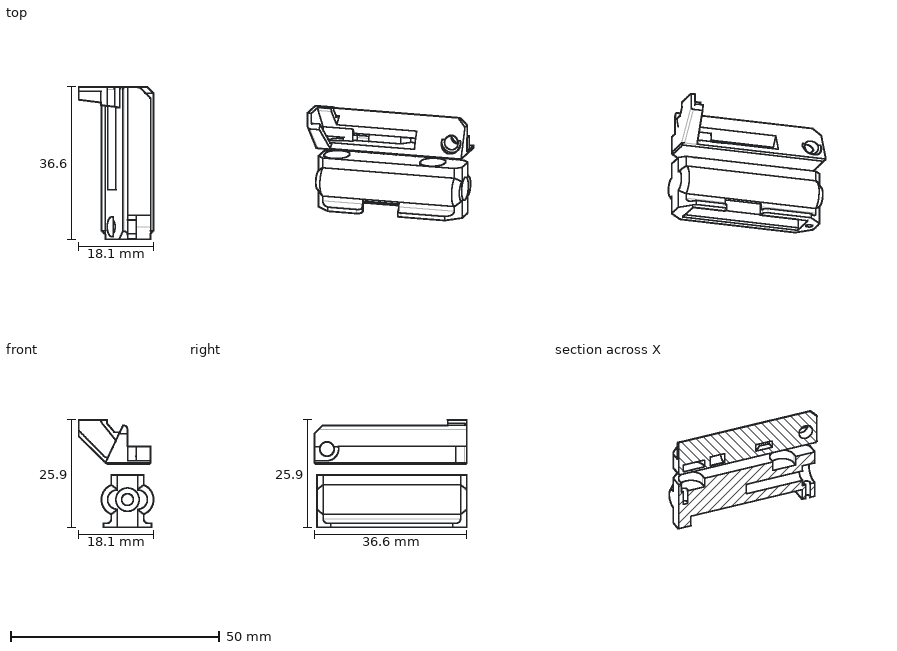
import cadquery as cq
import math


BIG = 73.15

LOWER_LENGTH = 36.0
LOWER_HEIGHT = 12.65
BLOCK_HALF = 3.9
CORNER_CUT = 1.5
TUBE_OFFSET = 2.5
TUBE_OUTER = 6.3
AXIS_Z = 6.7
FLANGE_HALF = 5.78
FLANGE_HEIGHT = 1.02
FLANGE_FILLET = 1.02
GAP_START = 11.5
GAP_END = 20.55
GAP_TOP = 2.7
CHANNEL_HALF = 3.45
CHANNEL_END_WALL = 3.35
CHANNEL_CHAMFER = 0.48
BORE_D = 5.6
BORE_DEPTH = 3.2
PILOT_D = 2.8
PILOT_END = LOWER_LENGTH / 2
PIN_D = 1.6
PIN_INSET = 1.83
POCKET_D = 6.0
POCKET_STRETCH = 1.1
POCKET_FLOOR = 10.25
POCKET_PLACES = (3.88, 27.9)

UPPER_LENGTH = 36.57
BASE_Z = 15.15
TOP_Z = 24.5
SHELF_Z = 19.45
UPPER_RIGHT = 5.52
BASE_LEFT = -4.65
TIP_X = -5.3
TIP_Z = 15.55
CREST_LEFT = -1.1
CREST_FILLET = 0.88
BASE_CHAMFER = 0.35
BACK_CORNER = 2.67
BACK_CORNER_BLEND = 2.05
FRONT_CHAMFER = 1.95
BACK_EDGE_FILLET = 0.55

FINGER_LEFT = -11.75
FINGER_TOP = 25.85
FINGER_LOW = 21.9
FINGER_RIGHT = -4.9
FINGER_ELBOW = 24.98
LEDGE_X = -3.1
LEDGE_Z = 22.9
FINGER_DEPTH = 5.85
TRIM_START = -3.8
TRIM_PER_X = -0.2
TRIM_PER_Z = -0.07
ROOT_OVERLAP = 0.9

BACK_WALL = 1.02
FLOOR_Z = 16.85
WINDOW_END = 24.7
WINDOW_TOP_X = -2.8
CAVITY_WALL = -0.95
CAVITY_SHOULDER = 18.58
CAVITY_LIP_X = -5.38
CAVITY_OPEN_Z = 23.33
CAVITY_NECK_X = -6.4
CAVITY_NECK_Z = 25.4
CAVITY_NECK_BLEND = 1.1
STOP_END = 8.5
STOP_WALL = -2.0

SOCKET_D = 5.6
SOCKET_Y = 4.15
SOCKET_FLOOR = 15.9
SOCKET_ROOF = 17.65
TROUGH_D = 2.8
TROUGH_X = 0.33
TROUGH_ROOF = 18.15
TROUGH_END = 12.2
NICHE_START = 20.1
NICHE_DEPTH = 2.0
NICHE_ROOF = 18.5

CROSS_Y = 33.57
CROSS_Z = 18.85
CROSS_D = 3.4
COUNTERBORE_D = 4.75
COUNTERBORE_X = -3.45
NOTCH_D = 5.6
NOTCH_X = 2.05
BOSS_SETBACK = 0.1


def along_y(outline, start, end):
    """Extrude an (x, z) outline from y = -start to y = -end."""
    plane = cq.Workplane("XZ", origin=(0, -start, 0))
    return plane.polyline(outline).close().extrude(end - start)


def box(x0, x1, y0, y1, z0, z1):
    """Box between two corners."""
    return cq.Workplane("XY").box(x1 - x0, y1 - y0, z1 - z0, centered=False).translate((x0, y0, z0))


def rod_y(x, z, diameter, start, end):
    """Cylinder along Y from y = -start to y = -end."""
    return cq.Workplane("XZ", origin=(x, -start, z)).circle(diameter / 2).extrude(end - start)


def rod_x(y, z, diameter, x0, x1):
    """Cylinder along X from x0 to x1."""
    return cq.Workplane("YZ", origin=(x0, y, z)).circle(diameter / 2).extrude(x1 - x0)


def rod_z(x, y, diameter, z0, z1):
    """Cylinder along Z from z0 to z1."""
    return cq.Workplane("XY", origin=(x, y, z0)).circle(diameter / 2).extrude(z1 - z0)


def flanged_block():
    """Central block with filleted foot flanges and 45 degree corners."""
    shoulder_z = FLANGE_HEIGHT + FLANGE_FILLET
    foot_x = BLOCK_HALF + FLANGE_FILLET
    bend = FLANGE_FILLET * (1 - math.sqrt(0.5))
    section = (
        cq.Workplane("XZ")
        .moveTo(-FLANGE_HALF, 0)
        .lineTo(FLANGE_HALF, 0)
        .lineTo(FLANGE_HALF, FLANGE_HEIGHT)
        .lineTo(foot_x, FLANGE_HEIGHT)
        .threePointArc((BLOCK_HALF + bend, FLANGE_HEIGHT + bend), (BLOCK_HALF, shoulder_z))
        .lineTo(BLOCK_HALF, LOWER_HEIGHT)
        .lineTo(-BLOCK_HALF, LOWER_HEIGHT)
        .lineTo(-BLOCK_HALF, shoulder_z)
        .threePointArc((-BLOCK_HALF - bend, FLANGE_HEIGHT + bend), (-foot_x, FLANGE_HEIGHT))
        .lineTo(-FLANGE_HALF, FLANGE_HEIGHT)
        .close()
        .extrude(LOWER_LENGTH)
    )
    end_half = BLOCK_HALF - CORNER_CUT
    corner = FLANGE_HALF - end_half
    footprint = (
        cq.Workplane("XY", origin=(0, -LOWER_LENGTH / 2, 0))
        .rect(2 * FLANGE_HALF, LOWER_LENGTH)
        .extrude(LOWER_HEIGHT)
        .edges("|Z")
        .chamfer(corner)
    )
    return section.intersect(footprint)


def side_tube(side):
    """Round rib along one side (-1 or 1), with coned ends."""
    radius = TUBE_OUTER - TUBE_OFFSET
    rib = rod_y(side * TUBE_OFFSET, AXIS_Z, 2 * radius, 0, LOWER_LENGTH)
    return rib.faces("<Y or >Y").chamfer(CORNER_CUT)


def underside_channel():
    """Hollow in the underside, with a bevelled lower edge on its right wall."""
    start = CHANNEL_END_WALL
    end = LOWER_LENGTH - CHANNEL_END_WALL
    outline = [
        (-CHANNEL_HALF, 0),
        (CHANNEL_HALF + CHANNEL_CHAMFER, 0),
        (CHANNEL_HALF, CHANNEL_CHAMFER),
        (CHANNEL_HALF, GAP_TOP),
        (-CHANNEL_HALF, GAP_TOP),
    ]
    return along_y(outline, start, end)


def flange_gap():
    """Opening through the left flange and wall; the flange ends left standing are rounded."""
    inner = -CHANNEL_HALF
    outer = -FLANGE_HALF
    round_x = outer + FLANGE_FILLET
    bend = FLANGE_FILLET * (1 - math.sqrt(0.5))
    return (
        cq.Workplane("XY")
        .moveTo(inner, -GAP_START)
        .lineTo(round_x, -GAP_START)
        .threePointArc((outer + bend, -GAP_START + bend), (outer, -GAP_START + FLANGE_FILLET))
        .lineTo(outer, -GAP_END - FLANGE_FILLET)
        .threePointArc((outer + bend, -GAP_END - bend), (round_x, -GAP_END))
        .lineTo(inner, -GAP_END)
        .close()
        .extrude(GAP_TOP)
    )


def obround_pocket(distance):
    """Pocket sunk from the top face, at a distance from the back face."""
    return (
        cq.Workplane("XY", origin=(0, -distance, POCKET_FLOOR))
        .slot2D(POCKET_D + POCKET_STRETCH, POCKET_D)
        .extrude(LOWER_HEIGHT - POCKET_FLOOR)
    )


def make_lower_body():
    body = flanged_block()
    for side in (-1, 1):
        body = body.union(side_tube(side))
    body = body.cut(box(-BIG, BIG, -BIG, BIG, LOWER_HEIGHT, BIG))
    body = body.cut(underside_channel())
    body = body.cut(flange_gap())
    for distance in POCKET_PLACES:
        body = body.cut(obround_pocket(distance))

    body = body.cut(rod_y(0, AXIS_Z, BORE_D, LOWER_LENGTH - BORE_DEPTH, LOWER_LENGTH))
    body = body.cut(rod_y(0, AXIS_Z, PILOT_D, PILOT_END, LOWER_LENGTH))

    body = body.cut(rod_z(0, PIN_INSET - LOWER_LENGTH, PIN_D, 0, AXIS_Z))
    return body.cut(rod_z(0, -PIN_INSET, PIN_D, AXIS_Z, LOWER_HEIGHT))


def prism():
    """Long body: shelf on the right, upright wall with a slanted left face."""
    outline = [
        (BASE_LEFT, BASE_Z),
        (UPPER_RIGHT, BASE_Z),
        (UPPER_RIGHT, SHELF_Z),
        (0, SHELF_Z),
        (0, TOP_Z),
        (CREST_LEFT, TOP_Z),
        (TIP_X, TIP_Z),
    ]
    body = along_y(outline, 0, UPPER_LENGTH)
    crest_edge = (0, -UPPER_LENGTH / 2, TOP_Z)
    body = body.edges(cq.selectors.NearestToPointSelector(crest_edge)).fillet(CREST_FILLET)
    body = body.edges("|Z and >X and >Y").chamfer(BACK_CORNER)
    blend_edge = (UPPER_RIGHT - BACK_CORNER, 0, (BASE_Z + SHELF_Z) / 2)
    body = body.edges(cq.selectors.NearestToPointSelector(blend_edge)).fillet(BACK_CORNER_BLEND)
    body = body.faces("<Z").edges("not(<X)").chamfer(BASE_CHAMFER)
    slant_back = ((TIP_X + CREST_LEFT) / 2, 0, (TIP_Z + TOP_Z) / 2)
    body = body.edges(cq.selectors.NearestToPointSelector(slant_back)).fillet(BACK_EDGE_FILLET)

    low = TOP_Z - FRONT_CHAMFER
    wedge = (
        cq.Workplane("YZ", origin=(-BIG / 2, 0, 0))
        .polyline([
            (-UPPER_LENGTH, low),
            (-UPPER_LENGTH, TOP_Z),
            (FRONT_CHAMFER - UPPER_LENGTH, TOP_Z),
        ])
        .close()
        .extrude(BIG)
    )
    return body.cut(wedge)


def finger():
    """Hooked arm at the back left, with a tilted front."""
    slant = (CREST_LEFT - TIP_X) / (TOP_Z - TIP_Z)
    ledge_end = TIP_X + slant * (LEDGE_Z - TIP_Z) + ROOT_OVERLAP / 2
    outline = [
        (FINGER_LEFT, FINGER_TOP),
        (FINGER_LEFT, FINGER_LOW),
        (TIP_X, TIP_Z),
        (TIP_X + ROOT_OVERLAP, TIP_Z),
        (ledge_end, LEDGE_Z),
        (LEDGE_X, LEDGE_Z),
        (FINGER_RIGHT, FINGER_ELBOW),
        (FINGER_RIGHT, FINGER_TOP),
    ]
    arm = along_y(outline, 0, FINGER_DEPTH)

    rounded = (
        ((FINGER_LEFT + TIP_X) / 2, (FINGER_LOW + TIP_Z) / 2),
        ((FINGER_RIGHT + LEDGE_X) / 2, (FINGER_ELBOW + LEDGE_Z) / 2),
    )
    for x, z in rounded:
        arm = arm.edges(cq.selectors.NearestToPointSelector((x, 0, z))).fillet(BACK_EDGE_FILLET)

    trim_plane = cq.Plane(origin=(0, TRIM_START, 0), normal=(TRIM_PER_X, -1, TRIM_PER_Z))
    trim = cq.Workplane(trim_plane).rect(BIG, BIG).extrude(FINGER_DEPTH)
    return arm.cut(trim)


def cavity():
    """Hollow behind the window, running back into the finger."""
    slope = (CAVITY_NECK_Z - CAVITY_SHOULDER) / (CAVITY_WALL - CAVITY_NECK_X)
    window_top = CAVITY_SHOULDER + slope * (CAVITY_WALL - WINDOW_TOP_X)
    window = along_y(
        [
            (FINGER_LEFT, FLOOR_Z),
            (CAVITY_WALL, FLOOR_Z),
            (CAVITY_WALL, CAVITY_SHOULDER),
            (WINDOW_TOP_X, window_top),
            (FINGER_LEFT, window_top),
        ],
        FINGER_DEPTH,
        WINDOW_END,
    )
    hook = along_y(
        [
            (FINGER_LEFT, FINGER_TOP),
            (FINGER_LEFT, CAVITY_OPEN_Z),
            (CAVITY_LIP_X, FLOOR_Z),
            (CAVITY_WALL, FLOOR_Z),
            (CAVITY_WALL, CAVITY_SHOULDER),
            (CAVITY_NECK_X, CAVITY_NECK_Z),
            (CAVITY_NECK_X, FINGER_TOP),
        ],
        BACK_WALL,
        FINGER_DEPTH,
    )
    neck = (CAVITY_NECK_X, -FINGER_DEPTH / 2, CAVITY_NECK_Z)
    hook = hook.edges(cq.selectors.NearestToPointSelector(neck)).fillet(CAVITY_NECK_BLEND)
    stop = box(STOP_WALL, 0, -STOP_END, 0, BASE_Z, TOP_Z)
    return window.union(hook).cut(stop)


def trough():
    """Round-bottomed recess under the cavity wall, in front of the stop block."""
    radius = TROUGH_D / 2
    lower = rod_y(TROUGH_X, FLOOR_Z, TROUGH_D, STOP_END, TROUGH_END)
    upper = box(
        TROUGH_X - radius, TROUGH_X + radius, -TROUGH_END, -STOP_END, FLOOR_Z, TROUGH_ROOF
    )
    return lower.union(upper)


def niche():
    """Recess in the cavity wall near the window's front end, entered by a 45 degree face."""
    return (
        cq.Workplane("XY", origin=(0, 0, FLOOR_Z))
        .polyline([
            (CAVITY_WALL, -NICHE_START),
            (CAVITY_WALL + NICHE_DEPTH, -NICHE_START - NICHE_DEPTH),
            (CAVITY_WALL + NICHE_DEPTH, -WINDOW_END),
            (CAVITY_WALL, -WINDOW_END),
        ])
        .close()
        .extrude(NICHE_ROOF - FLOOR_Z)
    )


def front_notch():
    """Round-backed notch that lowers the shelf at the front right."""
    floor_z = CROSS_Z - NOTCH_D / 2
    scoop = rod_x(-CROSS_Y, CROSS_Z, NOTCH_D, NOTCH_X, BIG)
    return scoop.union(box(NOTCH_X, BIG, -BIG, -CROSS_Y, floor_z, SHELF_Z))


def boss_relief():
    """Thin cuts that set the boss left of the notch below the shelf and behind the front."""
    floor_z = CROSS_Z - NOTCH_D / 2
    back_y = -CROSS_Y + NOTCH_D / 2
    top = box(0, NOTCH_X, -UPPER_LENGTH, back_y, SHELF_Z - BOSS_SETBACK, SHELF_Z)
    front = box(0, NOTCH_X, -UPPER_LENGTH, BOSS_SETBACK - UPPER_LENGTH, floor_z, SHELF_Z)
    return top.union(front)


def make_upper_body():
    body = prism().union(finger())
    body = body.cut(cavity())
    body = body.cut(rod_z(0, -SOCKET_Y, SOCKET_D, SOCKET_FLOOR, SOCKET_ROOF))
    body = body.cut(trough())
    body = body.cut(niche())
    body = body.cut(front_notch())
    body = body.cut(boss_relief())
    body = body.cut(rod_x(-CROSS_Y, CROSS_Z, CROSS_D, -BIG, BIG))
    return body.cut(rod_x(-CROSS_Y, CROSS_Z, COUNTERBORE_D, -BIG, COUNTERBORE_X))


lower_body = make_lower_body()
upper_body = make_upper_body()
result = cq.Compound.makeCompound([lower_body.val(), upper_body.val()])